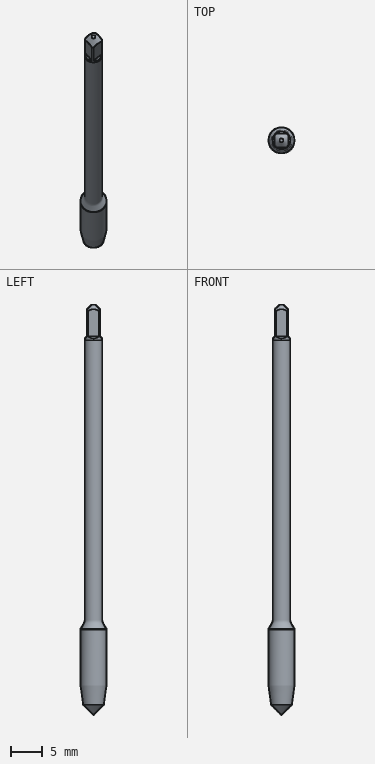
import cadquery as cq
import math

total_length = 64.34

head_diameter = 4.1
lead_diameter = 3.3
point_height = lead_diameter / 2
lead_top = 4.6
cutter_top = 13.36

collar_rim_top = 13.5
collar_slope = math.radians(30)
collar_fillet = 1.0
shank_diameter = 2.8
shank_top = 58.77
drive_diameter = 2.69
drive_width = 2.1
flat_bottom = 59.37
runout_height = 0.35
end_flat_diameter = 0.6
end_chamfer_height = 1.0


def make_cutter():
    outline = [
        (0, 0),
        (lead_diameter / 2, point_height),
        (head_diameter / 2, lead_top),
        (head_diameter / 2, cutter_top),
        (0, cutter_top),
    ]
    return cq.Workplane("XZ").polyline(outline).close().revolve(360, (0, 0, 0), (0, 1, 0))


def make_flat_cutter():
    """Material removed for one drive flat, on the +X side, with its sloping run-out."""
    outline = [
        (drive_width / 2, total_length),
        (drive_width / 2, flat_bottom),
        (drive_diameter / 2, flat_bottom - runout_height),
        (drive_diameter, flat_bottom - runout_height),
        (drive_diameter, total_length),
    ]
    return cq.Workplane("XZ").polyline(outline).close().extrude(drive_diameter, both=True)


def make_shank():
    head_radius = head_diameter / 2
    shank_radius = shank_diameter / 2
    drive_radius = drive_diameter / 2

    corner_z = collar_rim_top + (head_radius - shank_radius) / math.tan(collar_slope)
    fillet_top = corner_z + collar_fillet * math.tan(collar_slope / 2)
    fillet_center = (shank_radius + collar_fillet, fillet_top)

    def fillet_point(angle):
        """Point on the fillet, at an angle measured down from its top end."""
        return (
            fillet_center[0] - collar_fillet * math.cos(angle),
            fillet_center[1] - collar_fillet * math.sin(angle),
        )

    shank = (
        cq.Workplane("XZ")
        .moveTo(0, cutter_top)
        .lineTo(head_radius, cutter_top)
        .lineTo(head_radius, collar_rim_top)
        .lineTo(*fillet_point(collar_slope))
        .threePointArc(fillet_point(collar_slope / 2), fillet_point(0))
        .lineTo(shank_radius, shank_top)
        .lineTo(drive_radius, shank_top)
        .lineTo(drive_radius, total_length - end_chamfer_height)
        .lineTo(end_flat_diameter / 2, total_length)
        .lineTo(0, total_length)
        .close()
        .revolve(360, (0, 0, 0), (0, 1, 0))
    )
    for angle in (0, 90, 180, 270):
        shank = shank.cut(make_flat_cutter().rotate((0, 0, 0), (0, 0, 1), angle))
    return shank


cutter = make_cutter()
shank = make_shank()

result = cq.Compound.makeCompound([cutter.val(), shank.val()])